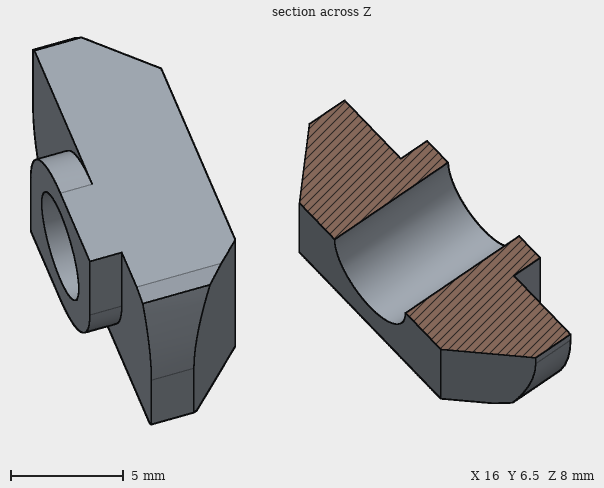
import cadquery as cq
import math

length = 16.0
height = 8.0
body_depth = 5.0
boss_depth = 1.5
back_chamfer = 3.0
bore_diameter = 5.0

half_length = length / 2
half_height = height / 2
total_depth = body_depth + boss_depth

corner_chamfer = 0.22

swing_radius = 8.2
swing_start_z = -0.42
right_bevel_outer_z = 3.8
right_bevel_inner_x = 6.0
left_bevel_outer_z = -3.82
left_bevel_inner_x = -6.63


def swing_x(z):
    """Distance in X from the bore axis to the swing arc at height z."""
    arc_centre_x = half_length - swing_radius
    return arc_centre_x + math.sqrt(swing_radius**2 - (z - swing_start_z) ** 2)


def front_plane(y):
    """Sketch plane facing -Y, so extrusions run toward -Y."""
    return cq.Workplane("XZ", origin=(0, y, 0))


def make_body():
    right_arc_mid_z = (swing_start_z + right_bevel_outer_z) / 2
    left_arc_mid_z = (swing_start_z + left_bevel_outer_z) / 2
    body = (
        front_plane(body_depth)
        .moveTo(-half_length + corner_chamfer, half_height)
        .lineTo(right_bevel_inner_x, half_height)
        .lineTo(swing_x(right_bevel_outer_z), right_bevel_outer_z)
        .threePointArc((swing_x(right_arc_mid_z), right_arc_mid_z), (half_length, swing_start_z))
        .lineTo(half_length, -half_height + corner_chamfer)
        .lineTo(half_length - corner_chamfer, -half_height)
        .lineTo(left_bevel_inner_x, -half_height)
        .lineTo(-swing_x(left_bevel_outer_z), left_bevel_outer_z)
        .threePointArc((-swing_x(left_arc_mid_z), left_arc_mid_z), (-half_length, swing_start_z))
        .lineTo(-half_length, half_height - corner_chamfer)
        .close()
        .extrude(body_depth)
    )
    plan = (
        cq.Workplane("XY", origin=(0, 0, -half_height))
        .moveTo(-half_length, 0)
        .lineTo(half_length, 0)
        .lineTo(half_length, body_depth - back_chamfer)
        .lineTo(half_length - back_chamfer, body_depth)
        .lineTo(-half_length + back_chamfer, body_depth)
        .lineTo(-half_length, body_depth - back_chamfer)
        .close()
        .extrude(height)
    )
    return body.intersect(plan)


def make_boss():
    """Square boss with two diagonally opposite corners rounded about the bore axis."""
    radius = half_height
    arc_offset = radius * math.sqrt(0.5)
    return (
        front_plane(body_depth)
        .moveTo(-radius, -radius)
        .lineTo(-radius, 0)
        .threePointArc((-arc_offset, arc_offset), (0, radius))
        .lineTo(radius, radius)
        .lineTo(radius, 0)
        .threePointArc((arc_offset, -arc_offset), (0, -radius))
        .close()
        .extrude(total_depth)
    )


def make_bore():
    return front_plane(body_depth).circle(bore_diameter / 2).extrude(total_depth)


result = make_body().union(make_boss()).cut(make_bore())